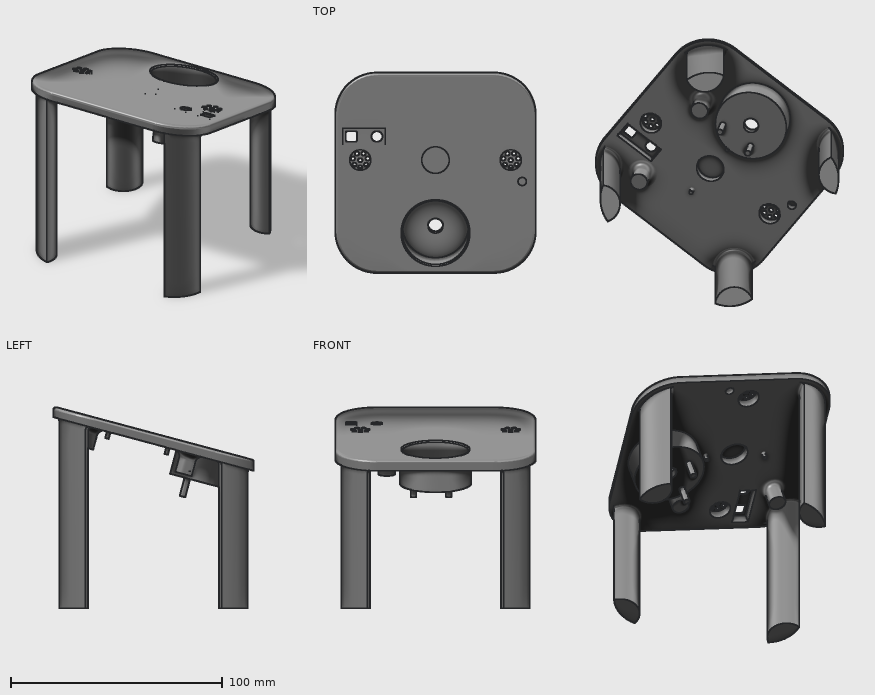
import cadquery as cq
import math

WIDTH = 95.0
HEIGHT = 95.18
TILT = 15.0
PLATE_THICKNESS = 5.0
CORNER_RADIUS = 20.0
EDGE_FILLET = 1.5
POCKET_ROOF = 0.5

LEG_OUTER_RADIUS = 17.8
LEG_ROUND_RADIUS = 9.1
LEG_ROUND_INSET = 7.5
LEG_FILLET = 1.5

BOWL_V = -29.5
BOWL_OUTER_DIAMETER = 34.0
BOWL_BORE_DIAMETER = 31.2
BOWL_BORE_DEPTH = 13.0
BOWL_LENGTH = 16.6
BOWL_RIM_CHAMFER = 0.7
BOWL_DRAIN_DIAMETER = 7.1
BOWL_PIN_DIAMETER = 2.8
BOWL_PIN_END = 25.5
BOWL_PIN_V = -21.0
BOWL_PIN_X = (-10.4, 6.2)

BOSS_DIAMETER = 8.0
BOSS_LENGTH = 10.0
BOSS_FILLET = 3.0
BOSS_X = -23.1
BOSS_V = (-18.7, 29.5)

STUD_DIAMETER = 1.8
STUD_LENGTH = 3.2
STUD_FILLET = 0.5
STUD_SPACING = 29.0

GRILLE_X = 35.6
GRILLE_V = 6.1
GRILLE_HOLE_DIAMETER = 2.0
GRILLE_RING_RADIUS = 3.6
GRILLE_RING_COUNT = 7
GRILLE_POCKET_DIAMETER = 10.0

WINDOW_V = 17.7
WINDOW_SIZE = 5.2
ROUND_WINDOW_X = -27.7
SQUARE_WINDOW_X = -39.8
WINDOW_CORNER_FILLET = 0.7
WINDOW_POCKET_LENGTH = 20.2
WINDOW_POCKET_WIDTH = 8.0

SENSOR_POCKET_DIAMETER = 13.0
LAMP_POCKET_DIAMETER = 4.0
LAMP_X = 41.0
LAMP_V = -4.4

SLOPE = math.tan(math.radians(TILT))
COSINE = math.cos(math.radians(TILT))
FILLET_DROP = EDGE_FILLET * (SLOPE + 1 / COSINE - 1)
PLATE_CENTRE_Z = HEIGHT + FILLET_DROP - WIDTH / 2 * SLOPE
CORNER_CENTRE = WIDTH / 2 - CORNER_RADIUS
LEG_ROUND_CENTRE = WIDTH / 2 - LEG_ROUND_INSET
POCKET_DEPTH = PLATE_THICKNESS - POCKET_ROOF
MID_PLATE = PLATE_THICKNESS / 2
MID_BOWL_FLOOR = (BOWL_BORE_DEPTH + BOWL_LENGTH) / 2
LARGE = 2 * WIDTH


def tilted(depth, x=0, v=0):
    """Workplane parallel to the plate top at a depth below it, centred on (x, v)."""
    top = cq.Plane(origin=(0, 0, PLATE_CENTRE_Z), xDir=(1, 0, 0), normal=(0, -SLOPE, 1))
    return cq.Workplane(top).workplane(offset=-depth).center(x, v)


def cylinder(x, v, diameter, start, end):
    """Cylinder square to the plate between two depths."""
    return tilted(end, x, v).circle(diameter / 2).extrude(end - start)


def flared_post(x, v, diameter, length, fillet):
    """Post on the plate underside with a concave fillet at its root."""
    radius = diameter / 2
    profile = (
        cq.Workplane("XZ")
        .lineTo(radius + fillet, 0)
        .radiusArc((radius, -fillet), -fillet)
        .lineTo(radius, -length)
        .lineTo(0, -length)
        .close()
    )
    post = profile.revolve(360, (0, 0), (0, 1))
    root = tilted(PLATE_THICKNESS, x, v).plane.origin
    return post.rotate((0, 0, 0), (1, 0, 0), TILT).translate(root)


def make_plate():
    column = cq.Workplane("XY").rect(WIDTH, WIDTH).extrude(LARGE)
    column = column.edges("|Z").fillet(CORNER_RADIUS)
    slab = tilted(PLATE_THICKNESS).rect(LARGE, LARGE).extrude(PLATE_THICKNESS)
    top_face = cq.selectors.DirectionMinMaxSelector(tilted(0).plane.zDir)
    return column.intersect(slab).faces(top_face).edges().fillet(EDGE_FILLET)


def make_leg(side_x, side_y):
    outer = (
        cq.Workplane("XY")
        .center(side_x * CORNER_CENTRE, side_y * CORNER_CENTRE)
        .circle(LEG_OUTER_RADIUS)
        .extrude(HEIGHT)
    )
    inner = (
        cq.Workplane("XY")
        .center(side_x * LEG_ROUND_CENTRE, side_y * LEG_ROUND_CENTRE)
        .circle(LEG_ROUND_RADIUS)
        .extrude(HEIGHT)
    )
    below_plate = tilted(LARGE).rect(LARGE, LARGE).extrude(LARGE - MID_PLATE)
    return outer.intersect(inner).intersect(below_plate)


def add_legs(body):
    for side_x in (-1, 1):
        for side_y in (-1, 1):
            body = body.union(make_leg(side_x, side_y))
    reach = LEG_ROUND_CENTRE - LEG_ROUND_RADIUS / 4
    inner_side = cq.selectors.BoxSelector((-reach, -reach, 0), (reach, reach, HEIGHT))
    return body.edges("%ELLIPSE").edges(inner_side).fillet(LEG_FILLET)


def add_bowl(body):
    body = body.union(cylinder(0, BOWL_V, BOWL_OUTER_DIAMETER, MID_PLATE, BOWL_LENGTH))
    for x in BOWL_PIN_X:
        body = body.union(cylinder(x, BOWL_PIN_V, BOWL_PIN_DIAMETER, MID_BOWL_FLOOR, BOWL_PIN_END))
    rim_radius = BOWL_BORE_DIAMETER / 2 + BOWL_RIM_CHAMFER
    rim = tilted(0, 0, BOWL_V).circle(rim_radius).extrude(-BOWL_RIM_CHAMFER, taper=45)
    body = body.cut(cylinder(0, BOWL_V, BOWL_BORE_DIAMETER, 0, BOWL_BORE_DEPTH))
    body = body.cut(rim)
    return body.cut(cylinder(0, BOWL_V, BOWL_DRAIN_DIAMETER, 0, BOWL_LENGTH))


def add_posts(body):
    for v in BOSS_V:
        body = body.union(flared_post(BOSS_X, v, BOSS_DIAMETER, BOSS_LENGTH, BOSS_FILLET))
    for side in (-1, 1):
        v = GRILLE_V + side * STUD_SPACING / 2
        body = body.union(flared_post(0, v, STUD_DIAMETER, STUD_LENGTH, STUD_FILLET))
    return body


def cut_grille(body, x):
    body = body.cut(cylinder(x, GRILLE_V, GRILLE_POCKET_DIAMETER, POCKET_ROOF, PLATE_THICKNESS))
    hole_points = [(0, 0)]
    for index in range(GRILLE_RING_COUNT):
        angle = 2 * math.pi * index / GRILLE_RING_COUNT - math.pi / 2
        hole_points.append((GRILLE_RING_RADIUS * math.cos(angle), GRILLE_RING_RADIUS * math.sin(angle)))
    holes = (
        tilted(PLATE_THICKNESS, x, GRILLE_V)
        .pushPoints(hole_points)
        .circle(GRILLE_HOLE_DIAMETER / 2)
        .extrude(PLATE_THICKNESS)
    )
    return body.cut(holes)


def cut_windows(body):
    pocket_x = ROUND_WINDOW_X + (WINDOW_POCKET_WIDTH - WINDOW_POCKET_LENGTH) / 2
    pocket = (
        tilted(PLATE_THICKNESS, pocket_x, WINDOW_V)
        .rect(WINDOW_POCKET_LENGTH, WINDOW_POCKET_WIDTH)
        .extrude(POCKET_DEPTH)
    )
    square = (
        tilted(PLATE_THICKNESS, SQUARE_WINDOW_X, WINDOW_V)
        .rect(WINDOW_SIZE, WINDOW_SIZE)
        .extrude(PLATE_THICKNESS)
    )
    upright_edges = cq.selectors.ParallelDirSelector(square.plane.zDir)
    square = square.edges(upright_edges).fillet(WINDOW_CORNER_FILLET)
    body = body.cut(pocket).cut(square)
    return body.cut(cylinder(ROUND_WINDOW_X, WINDOW_V, WINDOW_SIZE, 0, PLATE_THICKNESS))


def cut_blind_pockets(body):
    body = body.cut(cylinder(0, GRILLE_V, SENSOR_POCKET_DIAMETER, POCKET_ROOF, PLATE_THICKNESS))
    return body.cut(cylinder(LAMP_X, LAMP_V, LAMP_POCKET_DIAMETER, POCKET_ROOF, PLATE_THICKNESS))


body = add_legs(make_plate())
body = add_bowl(body)
body = add_posts(body)
for grille_x in (-GRILLE_X, GRILLE_X):
    body = cut_grille(body, grille_x)
body = cut_windows(body)
result = cut_blind_pockets(body)